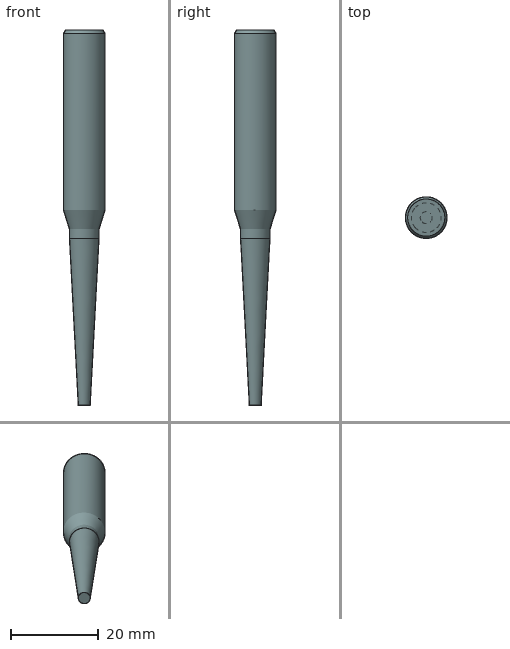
import cadquery as cq

total_length = 85.7

shank_radius = 9.5 / 2
chamfer_width = 0.5
chamfer_height = 0.85
shoulder_z = 44.6
neck_top_z = 40.2
neck_radius = 6.8 / 2

cutter_length = 38.05
cutter_top_radius = neck_radius
tip_radius = 2.7 / 2


def make_shank():
    """Round shank with a chamfered end, a conical shoulder and a short neck."""
    half_profile = [
        (0, cutter_length),
        (neck_radius, cutter_length),
        (neck_radius, neck_top_z),
        (shank_radius, shoulder_z),
        (shank_radius, total_length - chamfer_height),
        (shank_radius - chamfer_width, total_length),
        (0, total_length),
    ]
    return cq.Workplane("XZ").polyline(half_profile).close().revolve(360, (0, 0), (0, 1))


def make_cutter():
    """Slender cone that meets the neck and narrows to a flat tip."""
    half_profile = [
        (0, 0),
        (tip_radius, 0),
        (cutter_top_radius, cutter_length),
        (0, cutter_length),
    ]
    return cq.Workplane("XZ").polyline(half_profile).close().revolve(360, (0, 0), (0, 1))


shank = make_shank()
cutter = make_cutter()

result = cq.Compound.makeCompound([shank.val(), cutter.val()])